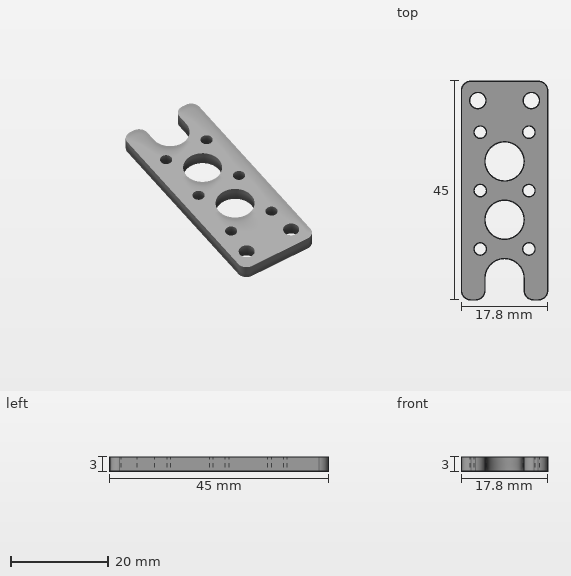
import cadquery as cq

width = 17.8
length = 45.0
thickness = 3.0
corner_radius = 2.0

opening_diameter = 8.0
opening_pitch = 12.0
closed_openings = 2
slot_end_offset = 4.5

screw_diameter = 2.5
screw_spacing = 10.0
screw_rows = 3

mount_diameter = 3.3
mount_spacing = 11.0
mount_end_offset = 4.0

open_end_y = -length / 2
closed_end_y = length / 2
slot_center_y = open_end_y + slot_end_offset
first_screw_y = slot_center_y + opening_pitch / 2


def make_plate():
    """Flat plate with a round-ended slot in the -Y end and rounded corners."""
    plate = cq.Workplane("XY").box(width, length, thickness, centered=(True, True, False))
    slot_round = (
        cq.Workplane("XY").center(0, slot_center_y).circle(opening_diameter / 2).extrude(thickness)
    )
    slot_mouth = (
        cq.Workplane("XY")
        .center(0, (slot_center_y + open_end_y) / 2)
        .rect(opening_diameter, slot_end_offset)
        .extrude(thickness)
    )
    plate = plate.cut(slot_round).cut(slot_mouth)

    end_edges = plate.faces(">Y or <Y").edges("|Z")
    return end_edges.fillet(corner_radius)


def drill(plate, points, diameter):
    """Cut through holes of one diameter at the given XY points."""
    holes = cq.Workplane("XY").pushPoints(points).circle(diameter / 2).extrude(thickness)
    return plate.cut(holes)


def pair(spacing, y):
    """Two points placed symmetrically about the centreline."""
    return [(-spacing / 2, y), (spacing / 2, y)]


opening_points = [(0, slot_center_y + i * opening_pitch) for i in range(1, closed_openings + 1)]
screw_points = []
for row in range(screw_rows):
    screw_points += pair(screw_spacing, first_screw_y + row * opening_pitch)
mount_points = pair(mount_spacing, closed_end_y - mount_end_offset)

result = make_plate()
result = drill(result, opening_points, opening_diameter)
result = drill(result, screw_points, screw_diameter)
result = drill(result, mount_points, mount_diameter)